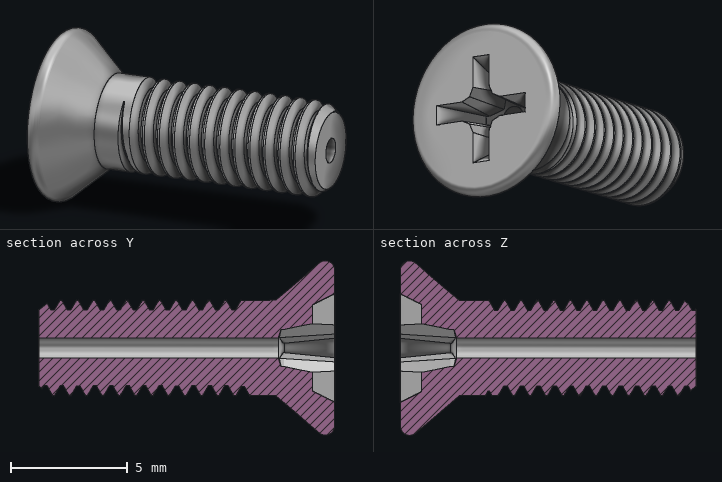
import cadquery as cq
import math

length = 12.7

head_radius = 3.77
rim_radius = 0.41
head_half_angle = math.radians(41)
head_height = 2.54

shank_radius = 2.08
tip_radius = 1.68
tip_chamfer_length = 0.53
bore_radius = 0.53

pitch = length / 18
thread_depth = 0.42
crest_flat = pitch / 8
thread_start = 3.66
flank_slope = math.tan(math.radians(30))
groove_width = pitch - crest_flat
cutter_overshoot = 0.03
spare_length = 3 * pitch
run_in_angle = 135.0
run_in_sections = 7
run_in_smallest_scale = 0.08

recess_depth = 2.16
wing_reach_top = 2.32
wing_half_width_top = 0.42
wing_root_top = 0.99
core_corner_top = 0.6
wing_reach_bottom = 1.25
wing_half_width_bottom = 0.2
wing_root_bottom = 1.09
core_corner_bottom = 0.46
floor_cone_depth = 0.45


def make_blank():
    """Revolve the head and a shank with spare length for the thread to run past the tip."""
    rim_center_radius = head_radius - rim_radius

    def rim_point(angle):
        return (
            rim_radius + rim_radius * math.sin(angle),
            rim_center_radius + rim_radius * math.cos(angle),
        )

    return (
        cq.Workplane("XY")
        .lineTo(0, rim_center_radius)
        .threePointArc(rim_point(0), rim_point(head_half_angle))
        .lineTo(head_height, shank_radius)
        .lineTo(length + spare_length, shank_radius)
        .lineTo(length + spare_length, 0)
        .close()
        .revolve(360, (0, 0, 0), (1, 0, 0))
    )


def groove_section(scale):
    """(radius, axial) corners of the groove, scaled about its head-side edge at the crest."""
    depth = thread_depth * scale
    width = groove_width * scale
    flank = depth * flank_slope
    flare = cutter_overshoot * flank_slope
    outer = shank_radius + cutter_overshoot
    root = shank_radius - depth
    return [
        (outer, thread_start - flare),
        (root, thread_start + flank),
        (root, thread_start + width - flank),
        (outer, thread_start + width + flare),
    ]


def groove_wire(scale, angle):
    """Groove section in the half plane at the given angle around Z."""
    turn = math.radians(angle)
    corners = [
        cq.Vector(radius * math.cos(turn), radius * math.sin(turn), axial)
        for radius, axial in groove_section(scale)
    ]
    return cq.Wire.makePolygon(corners, close=True)


def make_thread_groove():
    """Right-hand groove with a tapering run-in, built along Z and turned onto X."""
    groove_length = length + pitch - thread_start
    helix = cq.Wire.makeHelix(pitch, groove_length, shank_radius, cq.Vector(0, 0, thread_start))
    full_groove = cq.Solid.sweep(groove_wire(1, 0), [], helix, True, True)

    run_in_wires = []
    for index in range(run_in_sections):
        progress = index / (run_in_sections - 1)
        scale = run_in_smallest_scale + (1 - run_in_smallest_scale) * progress
        run_in_wires.append(groove_wire(scale, run_in_angle * (progress - 1)))
    run_in = cq.Solid.makeLoft(run_in_wires)

    return [cutter.rotate((0, 0, 0), (0, 1, 0), 90) for cutter in (full_groove, run_in)]


def trim_tip(screw):
    """Cut off the spare length, then chamfer the tip."""
    clear_radius = shank_radius + pitch
    spare = cq.Workplane("YZ", origin=(length, 0, 0)).circle(clear_radius).extrude(2 * spare_length)
    chamfer_slope = (shank_radius - tip_radius) / tip_chamfer_length
    chamfer_ring = (
        cq.Workplane("XY")
        .moveTo(length - tip_chamfer_length - pitch, shank_radius + pitch * chamfer_slope)
        .lineTo(length + pitch, tip_radius - pitch * chamfer_slope)
        .lineTo(length + pitch, shank_radius + pitch * chamfer_slope)
        .close()
        .revolve(360, (0, 0, 0), (1, 0, 0))
    )
    return screw.cut(spare).cut(chamfer_ring)


def cross_outline(reach, half_width, wing_root, core_corner):
    """Four-wing outline with a beveled core corner between neighboring wings."""
    quarter = [
        (reach, -half_width),
        (reach, half_width),
        (wing_root, half_width),
        (core_corner, core_corner),
        (half_width, wing_root),
    ]
    points = []
    for _ in range(4):
        points += quarter
        quarter = [(-v, u) for u, v in quarter]
    return points


def make_recess():
    """Tapered cross with a shallow conical floor around the bore."""
    top = cross_outline(wing_reach_top, wing_half_width_top, wing_root_top, core_corner_top)
    bottom = cross_outline(
        wing_reach_bottom, wing_half_width_bottom, wing_root_bottom, core_corner_bottom
    )
    tapered_cross = (
        cq.Workplane("YZ")
        .polyline(top).close()
        .workplane(offset=recess_depth)
        .polyline(bottom).close()
        .loft(ruled=True)
    )
    core = (
        cq.Workplane("YZ", origin=(recess_depth, 0, 0))
        .polyline(bottom).close()
        .extrude(floor_cone_depth)
    )
    floor_radius = math.hypot(wing_reach_bottom, wing_half_width_bottom)
    cone = cq.Solid.makeCone(
        floor_radius, 0, floor_cone_depth, cq.Vector(recess_depth, 0, 0), cq.Vector(1, 0, 0)
    )
    return tapered_cross.union(core.intersect(cq.Workplane(cone)))


result = make_blank()
for groove_cutter in make_thread_groove():
    result = result.cut(cq.Workplane(groove_cutter))
result = trim_tip(result)
bore = cq.Workplane("YZ").circle(bore_radius).extrude(length)
result = result.cut(make_recess()).cut(bore)